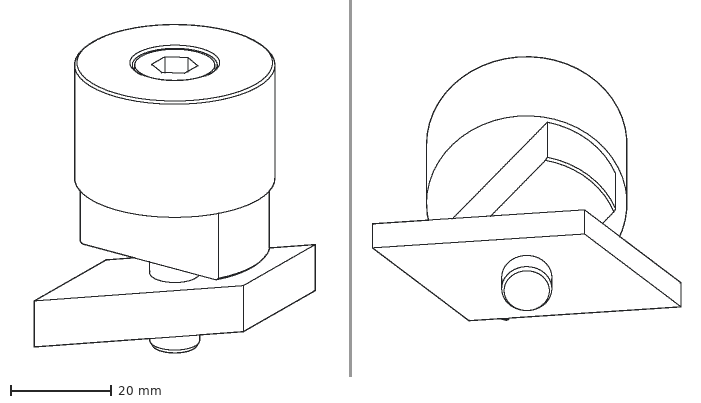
import cadquery as cq
import math

total_height = 61.0
edge_chamfer = 0.5

cap_diameter = 40.0
cap_height = 25.0
tongue_diameter = 38.0
slot_width = 18.0
tongue_height = 15.0

head_recess = 0.5
head_diameter = 16.0
shank_diameter = 10.0
head_height = shank_diameter
head_clearance = 0.5
bore_diameter = head_diameter + 2 * head_clearance
tip_chamfer_height = 0.85
socket_width = 8.0
socket_depth = 6.0
socket_cone_angle = 120.0

block_width = 30.0
block_thickness = 10.0
block_top = -45.5

head_top = -head_recess
seat_level = head_top - head_height


def cylinder(diameter, top, height):
    """Cylinder on the Z axis that hangs down from the level `top`."""
    return cq.Workplane("XY").workplane(offset=top).circle(diameter / 2).extrude(-height)


def make_housing():
    cap = cylinder(cap_diameter, 0, cap_height).faces(">Z").edges().chamfer(edge_chamfer)

    round_tongue = cylinder(tongue_diameter, -cap_height, tongue_height)
    round_tongue = round_tongue.faces("<Z").edges().chamfer(edge_chamfer)
    flats = (
        cq.Workplane("XY")
        .workplane(offset=-cap_height)
        .rect(tongue_diameter, slot_width)
        .extrude(-tongue_height)
    )
    tongue = round_tongue.intersect(flats)

    bore = cylinder(bore_diameter, 0, -seat_level)
    housing = cap.union(tongue).cut(bore)

    mouth = cq.Workplane("XY").add(
        cq.Solid.makeCone(
            bore_diameter / 2,
            bore_diameter / 2 + edge_chamfer,
            edge_chamfer,
            pnt=cq.Vector(0, 0, -edge_chamfer),
        )
    )
    return housing.cut(mouth)


def make_socket():
    """Hexagonal socket, corners on the Y axis, ending in a conical floor."""
    corner_radius = socket_width / math.sqrt(3)
    cone_depth = corner_radius / math.tan(math.radians(socket_cone_angle / 2))
    hexagon = (
        cq.Workplane("XY")
        .workplane(offset=head_top)
        .transformed(rotate=(0, 0, 90))
        .polygon(6, 2 * corner_radius)
        .extrude(-(socket_depth + cone_depth))
    )
    drill = (
        cq.Workplane("XZ")
        .moveTo(0, head_top)
        .lineTo(corner_radius, head_top)
        .lineTo(corner_radius, head_top - socket_depth)
        .lineTo(0, head_top - socket_depth - cone_depth)
        .close()
        .revolve(360, (0, 0), (0, 1))
    )
    return hexagon.intersect(drill)


def make_slot_block():
    """Parallelogram block with a through hole that fits the shank."""
    side_length = slot_width * math.sqrt(2)
    half_width = block_width / 2
    half_length = (block_width + side_length) / 2
    block = (
        cq.Workplane("XY")
        .workplane(offset=block_top)
        .moveTo(-half_width, -half_length)
        .lineTo(half_width, half_length - side_length)
        .lineTo(half_width, half_length)
        .lineTo(-half_width, side_length - half_length)
        .close()
        .extrude(-block_thickness)
    )
    return block.cut(cylinder(shank_diameter, block_top, block_thickness))


def make_screw():
    """Socket head with a shank that is chamfered at its tip."""
    head = cylinder(head_diameter, head_top, head_height)
    shank = cylinder(shank_diameter, seat_level, total_height + seat_level)
    shank = shank.faces("<Z").edges().chamfer(tip_chamfer_height, edge_chamfer)
    return head.union(shank).cut(make_socket())


def make_clamp_body():
    """Housing fused to the screw, with an annular groove left around the head."""
    return make_housing().union(make_screw())


clamp_body = make_clamp_body()
slot_block = make_slot_block()
result = cq.Compound.makeCompound([clamp_body.val(), slot_block.val()])